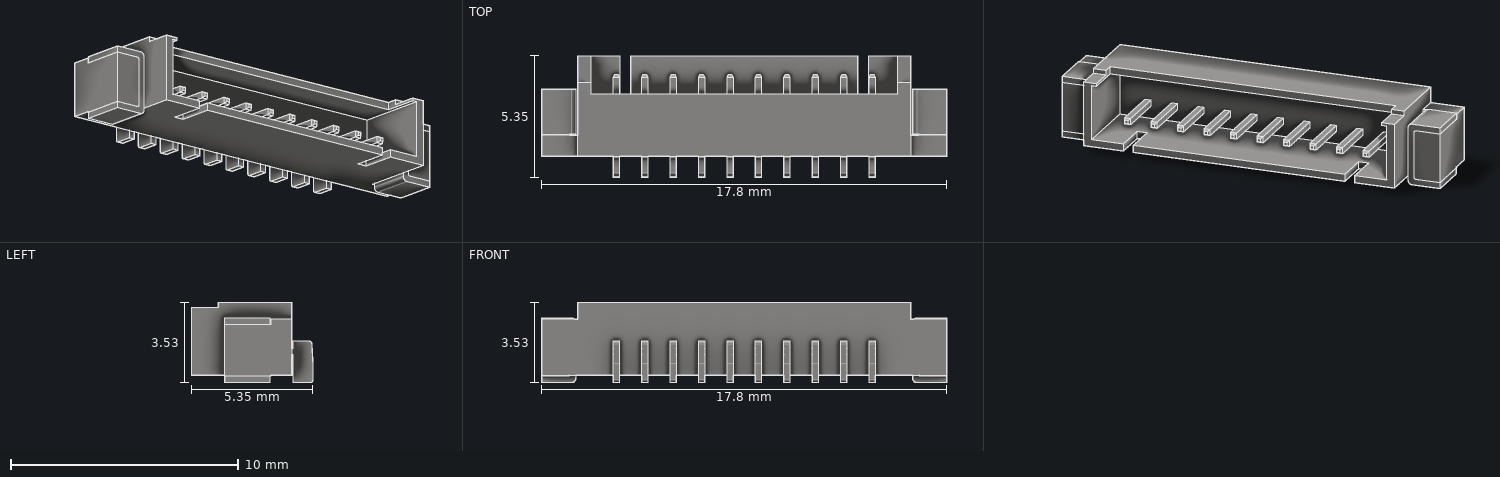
import cadquery as cq


overall_length = 17.83
shell_length = 14.65
shell_depth = 4.42
shell_bottom = 0.32
shell_top = 3.53
step_length = 1.18
step_drop = 0.21

cavity_length = 13.9
roof_thickness = 0.34
floor_thickness = roof_thickness
rear_wall = 1.0
notch_length = 13.46
notch_depth = 1.68

slot_inner = 5.0
slot_width = 0.46

wing_front = 2.96
wing_top = 2.8
clip_rear = 0.96
clip_gap = 0.04
wing_length = (overall_length - shell_length) / 2

clip_thickness = 0.29
clip_height = 2.85
clip_inset = 0.07
outer_bend_radius = 0.2
inner_bend_radius = 0.09
clip_inner = shell_length / 2 + clip_inset
web_outer = clip_inner + clip_thickness
core_height = clip_height - 2 * clip_thickness
wing_end = overall_length / 2

pin_count = 10
pin_row_length = 11.25
pin_pitch = pin_row_length / (pin_count - 1)
pin_width = 0.29
pin_height = 0.29
pin_z = 1.37
pin_front = 3.6
tip_length = 0.12
tip_taper = 0.07

blade_gap = 0.04
blade_reach = 0.93
blade_height = 1.84
blade_lean = 0.05
blade_lean_z = 0.85
blade_top_radius = 0.15
blade_bottom_radius = 0.12


def block(x_min, x_max, y_min, y_max, z_min, z_max):
    """Rectangular block between the given limits."""
    size = (x_max - x_min, y_max - y_min, z_max - z_min)
    return cq.Workplane("XY").box(*size, centered=False).translate((x_min, y_min, z_min))


def centred_block(length, y_min, y_max, z_min, z_max):
    """Rectangular block centred on x = 0."""
    return block(-length / 2, length / 2, y_min, y_max, z_min, z_max)


def mirrored(body):
    """The same body on the opposite end of the part."""
    return body.mirror("YZ").solids()


def make_shell():
    """Box with lowered side-wall fronts, an open cavity, a roof notch and floor slots."""
    front = shell_depth
    shell = centred_block(shell_length, 0, front, shell_bottom, shell_top)
    step = centred_block(shell_length, front - step_length, front, shell_top - step_drop, shell_top)
    cavity_floor = shell_bottom + floor_thickness
    cavity_roof = shell_top - roof_thickness
    cavity = centred_block(cavity_length, rear_wall, front, cavity_floor, cavity_roof)
    notch = centred_block(notch_length, front - notch_depth, front, cavity_roof, shell_top)
    shell = shell.cut(step).cut(cavity).cut(notch)
    slot_outer = slot_inner + slot_width
    slot = block(slot_inner, slot_outer, front - notch_depth, front, shell_bottom, cavity_floor)
    return shell.cut(slot).cut(mirrored(slot))


def clip_core():
    """Rounded block that the right-hand clip wraps around."""
    rear = clip_rear - clip_gap
    core = block(web_outer, wing_end, rear, wing_front, clip_thickness, clip_thickness + core_height)
    return core.edges("|Y and <X").fillet(inner_bend_radius)


def make_wing():
    """Right-hand wing: a solid rear part with the clip core in front of it."""
    rear_part = block(wing_end - wing_length, wing_end, 0, clip_rear - clip_gap, shell_bottom, wing_top)
    return rear_part.union(clip_core())


def make_blade():
    """Upright solder blade with rounded rear corners and a leaning upper half."""
    outline = [
        (-blade_gap, 0),
        (-blade_reach, 0),
        (-blade_reach, blade_lean_z),
        (blade_lean - blade_reach, blade_height),
        (-blade_gap, blade_height),
    ]
    blade = cq.Workplane("YZ").polyline(outline).close().extrude(pin_width / 2, both=True)
    blade = blade.edges("|X").edges(">Z").edges("<Y").fillet(blade_top_radius)
    return blade.edges("|X").edges("<Z").edges("<Y").fillet(blade_bottom_radius)


def make_contact():
    """Contact on x = 0: a bar with a tapered tip and a rounded solder blade."""
    z_min = pin_z - pin_height / 2
    bar_end = pin_front - tip_length
    bar = centred_block(pin_width, -blade_gap - pin_height, bar_end, z_min, z_min + pin_height)
    tip = (
        cq.Workplane("XZ", origin=(0, bar_end, pin_z))
        .rect(pin_width, pin_height)
        .workplane(offset=-tip_length)
        .rect(pin_width - 2 * tip_taper, pin_height - 2 * tip_taper)
        .loft()
    )
    return bar.union(tip).union(make_blade())


def make_housing():
    """Shell and wings with the row of contacts moulded in."""
    wing = make_wing()
    housing = make_shell().union(wing).union(mirrored(wing))
    contact = make_contact()
    for index in range(pin_count):
        x = (index - (pin_count - 1) / 2) * pin_pitch
        housing = housing.union(contact.translate((x, 0, 0)))
    return housing.solids()


def make_clip():
    """Right-hand clip: a C-shaped strip that opens toward the end of the wing."""
    strip = block(clip_inner, wing_end, clip_rear, wing_front, 0, clip_height)
    strip = strip.edges("|Y and <X").fillet(outer_bend_radius)
    return strip.cut(clip_core()).solids()


housing = make_housing()
right_clip = make_clip()
clips = [right_clip, mirrored(right_clip)]

result = cq.Compound.makeCompound([housing.val(), *[clip.val() for clip in clips]])